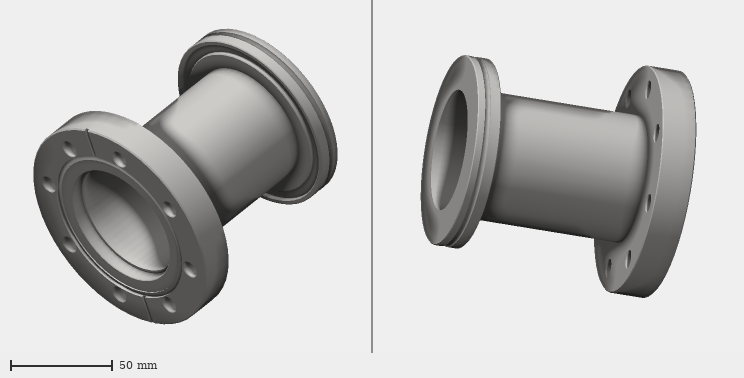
import cadquery as cq


TOTAL_LENGTH = 110.0
EDGE_CHAMFER = 0.5

PIPE_RADIUS = 31.8
PIPE_WALL = 1.7
PIPE_BORE_RADIUS = PIPE_RADIUS - PIPE_WALL

FRONT_RADIUS = 56.8
FRONT_THICKNESS = 17.5
FRONT_CHAMFER = 0.7
RECESS_RADIUS = 41.2
RECESS_DEPTH = 1.6
KNIFE_RADIUS = 38.5
KNIFE_DEPTH = 0.6
SEAL_FACE_DEPTH = 1.2
MOUTH_CHAMFER = 0.3
WELD_LIP_DEPTH = 8.0
WELD_LIP_THICKNESS = 1.2
PIPE_START = WELD_LIP_DEPTH + WELD_LIP_THICKNESS

BOLT_COUNT = 8
BOLT_CIRCLE_RADIUS = 46.1
BOLT_HOLE_RADIUS = 4.2
LEAK_GROOVE_WIDTH = 2.0
LEAK_GROOVE_DEPTH = 1.4
LEAK_GROOVE_START = 40.9
LEAK_GROOVE_ANGLE = 180 / BOLT_COUNT

BACK_RADIUS = 47.4
BACK_THICKNESS = 12.0
RIM_GROOVE_RADIUS = 1.5
RIM_GROOVE_SETBACK = 5.1
FACE_GROOVE_OUTER_RADIUS = 44.7
FACE_GROOVE_INNER_RADIUS = 40.0
FACE_GROOVE_DEPTH = 2.0


def revolve_about_y(profile):
    """Turn a closed (radius, Y) outline in the XY plane into a body around the Y axis."""
    return profile.close().revolve(360, (0, 0, 0), (0, 1, 0))


def make_pipe():
    return (
        cq.Workplane("XZ", origin=(0, PIPE_START, 0))
        .circle(PIPE_RADIUS)
        .circle(PIPE_BORE_RADIUS)
        .extrude(PIPE_START - TOTAL_LENGTH)
    )


def front_flange_blank():
    """Flange ring with the knife edge, the weld lip and the socket for the pipe."""
    profile = (
        cq.Workplane("XY")
        .moveTo(RECESS_RADIUS, 0)
        .lineTo(FRONT_RADIUS - FRONT_CHAMFER, 0)
        .lineTo(FRONT_RADIUS, FRONT_CHAMFER)
        .lineTo(FRONT_RADIUS, FRONT_THICKNESS - EDGE_CHAMFER)
        .lineTo(FRONT_RADIUS - EDGE_CHAMFER, FRONT_THICKNESS)
        .lineTo(PIPE_RADIUS, FRONT_THICKNESS)
        .lineTo(PIPE_RADIUS, PIPE_START)
        .lineTo(PIPE_BORE_RADIUS, PIPE_START)
        .lineTo(PIPE_BORE_RADIUS, WELD_LIP_DEPTH)
        .lineTo(PIPE_RADIUS, WELD_LIP_DEPTH)
        .lineTo(PIPE_RADIUS, SEAL_FACE_DEPTH + MOUTH_CHAMFER)
        .lineTo(PIPE_RADIUS + MOUTH_CHAMFER, SEAL_FACE_DEPTH)
        .lineTo(KNIFE_RADIUS, SEAL_FACE_DEPTH)
        .lineTo(KNIFE_RADIUS, KNIFE_DEPTH)
        .lineTo(RECESS_RADIUS, RECESS_DEPTH)
    )
    return revolve_about_y(profile)


def bolt_hole(angle):
    """Cutter for one through hole, chamfered at both ends, on the bolt circle."""
    mouth = BOLT_HOLE_RADIUS + EDGE_CHAMFER
    profile = (
        cq.Workplane("XY")
        .moveTo(0, 0)
        .lineTo(mouth, 0)
        .lineTo(BOLT_HOLE_RADIUS, EDGE_CHAMFER)
        .lineTo(BOLT_HOLE_RADIUS, FRONT_THICKNESS - EDGE_CHAMFER)
        .lineTo(mouth, FRONT_THICKNESS)
        .lineTo(0, FRONT_THICKNESS)
    )
    centre = (BOLT_CIRCLE_RADIUS, 0, 0)
    return revolve_about_y(profile).translate(centre).rotate((0, 0, 0), (0, 1, 0), angle)


def leak_groove(angle):
    """Cutter for one radial slot in the front face, from the recess out through the rim."""
    length = FRONT_RADIUS - LEAK_GROOVE_START
    slot = cq.Workplane("XY").box(
        LEAK_GROOVE_WIDTH, LEAK_GROOVE_DEPTH, length, centered=(True, False, False)
    )
    return slot.translate((0, 0, LEAK_GROOVE_START)).rotate((0, 0, 0), (0, 1, 0), angle)


def make_front_flange():
    flange = front_flange_blank()
    for index in range(BOLT_COUNT):
        flange = flange.cut(bolt_hole(index * 360 / BOLT_COUNT))
    for turn in (0, 180):
        flange = flange.cut(leak_groove(turn - LEAK_GROOVE_ANGLE))
    return flange


def make_back_flange():
    """Ring around the pipe end, with a round groove in its rim and a ring groove in its front face."""
    front = TOTAL_LENGTH - BACK_THICKNESS
    rim = BACK_RADIUS - EDGE_CHAMFER
    groove_centre = TOTAL_LENGTH - RIM_GROOVE_SETBACK
    groove_floor = front + FACE_GROOVE_DEPTH
    profile = (
        cq.Workplane("XY")
        .moveTo(PIPE_RADIUS, front)
        .lineTo(FACE_GROOVE_INNER_RADIUS - EDGE_CHAMFER, front)
        .lineTo(FACE_GROOVE_INNER_RADIUS, front + EDGE_CHAMFER)
        .lineTo(FACE_GROOVE_INNER_RADIUS, groove_floor)
        .lineTo(FACE_GROOVE_OUTER_RADIUS, groove_floor)
        .lineTo(FACE_GROOVE_OUTER_RADIUS, front + EDGE_CHAMFER)
        .lineTo(FACE_GROOVE_OUTER_RADIUS + EDGE_CHAMFER, front)
        .lineTo(rim, front)
        .lineTo(BACK_RADIUS, front + EDGE_CHAMFER)
        .lineTo(BACK_RADIUS, groove_centre - RIM_GROOVE_RADIUS)
        .threePointArc(
            (BACK_RADIUS - RIM_GROOVE_RADIUS, groove_centre),
            (BACK_RADIUS, groove_centre + RIM_GROOVE_RADIUS),
        )
        .lineTo(BACK_RADIUS, TOTAL_LENGTH - EDGE_CHAMFER)
        .lineTo(rim, TOTAL_LENGTH)
        .lineTo(PIPE_RADIUS, TOTAL_LENGTH)
    )
    return revolve_about_y(profile)


pipe = make_pipe()
front_flange = make_front_flange()
back_flange = make_back_flange()
result = cq.Compound.makeCompound([pipe.val(), front_flange.val(), back_flange.val()])